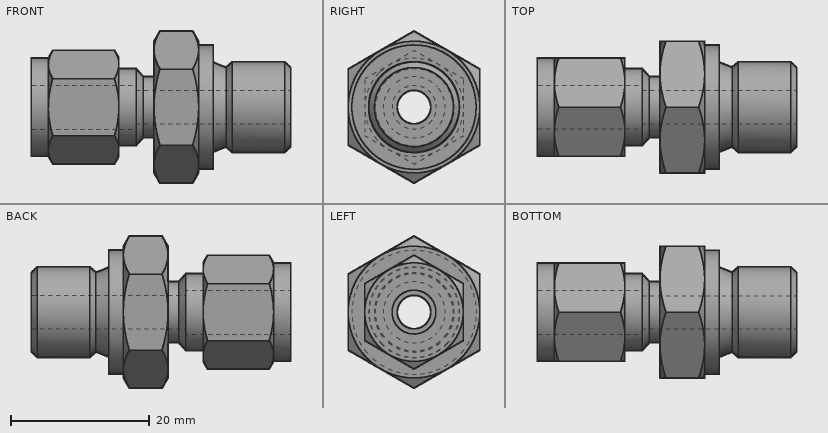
import cadquery as cq
import math


collar_end = 2.5
nut_end = 12.7
sleeve_end = 15.2
neck_start = 16.25
body_hex_start = 17.8
body_hex_end = 24.25
flange_end = 26.4
relief_end = 28.25
thread_start = 29.15
thread_end = 36.7
total_length = 37.6

nut_flats = 14.3
body_flats = 19.1
chamfer_angle = math.radians(30)
chamfer_inset = 0.008

sleeve_diameter = 11.2
neck_diameter = 8.9
flange_diameter = 18.0
relief_large_diameter = 13.05
relief_small_diameter = 11.58
thread_diameter = 13.2
thread_tip_diameter = 11.45
bore_diameter = 4.8
tube_socket_diameter = 6.35
tube_socket_depth = sleeve_end


def revolve_profile(points):
    """Revolve (x, radius) points, closed along the X axis, about that axis."""
    return cq.Workplane("XY").polyline(points).close().revolve(360, (0, 0, 0), (1, 0, 0))


def chamfered_hexagon(start, end, flats):
    """Hexagonal prism along X, corners up and down, with conical chamfers at both ends."""
    corner_radius = flats / math.sqrt(3)
    face_radius = flats / 2 - chamfer_inset
    chamfer_length = (corner_radius - face_radius) * math.tan(chamfer_angle)
    corners = [
        (corner_radius * math.sin(i * math.pi / 3), corner_radius * math.cos(i * math.pi / 3))
        for i in range(6)
    ]
    prism = cq.Workplane("YZ", origin=(start, 0, 0)).polyline(corners).close().extrude(end - start)
    envelope = revolve_profile([
        (start, 0),
        (start, face_radius),
        (start + chamfer_length, corner_radius),
        (end - chamfer_length, corner_radius),
        (end, face_radius),
        (end, 0),
    ])
    return prism.intersect(envelope)


def turned_core():
    """All round outer surfaces: collar, sleeve, neck, flange, thread relief and thread."""
    collar_radius = nut_flats / 2 - chamfer_inset
    return revolve_profile([
        (0, 0),
        (0, collar_radius),
        (collar_end, collar_radius),
        (collar_end, sleeve_diameter / 2),
        (sleeve_end, sleeve_diameter / 2),
        (neck_start, neck_diameter / 2),
        (body_hex_end, neck_diameter / 2),
        (body_hex_end, flange_diameter / 2),
        (flange_end, flange_diameter / 2),
        (flange_end, relief_large_diameter / 2),
        (relief_end, relief_small_diameter / 2),
        (thread_start, thread_diameter / 2),
        (thread_end, thread_diameter / 2),
        (total_length, thread_tip_diameter / 2),
        (total_length, 0),
    ])


def cylinder(length, diameter):
    """Cylinder along X starting at the nut end face."""
    return cq.Workplane("YZ").circle(diameter / 2).extrude(length)


nut_hexagon = chamfered_hexagon(collar_end, nut_end, nut_flats)
body_hexagon = chamfered_hexagon(body_hex_start, body_hex_end, body_flats)

result = (
    turned_core()
    .union(nut_hexagon)
    .union(body_hexagon)
    .cut(cylinder(total_length, bore_diameter))
    .cut(cylinder(tube_socket_depth, tube_socket_diameter))
)